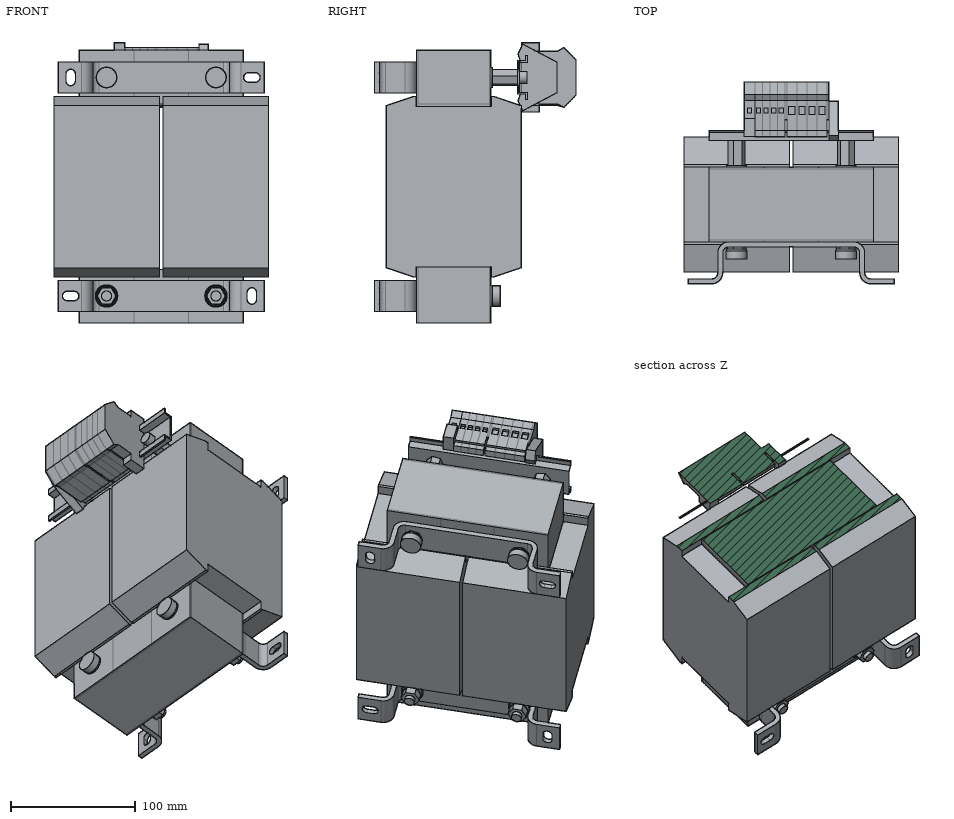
import cadquery as cq


overall_height = 226

core_width = 132.2
core_height = 220.0
core_depth = 60.1
yoke_height = 43.5
window_width = 43.6
cover_thickness = 1.4
core_face = core_depth / 2
core_mid_z = core_height / 2

coils_width = 173.0
coil_gap = 2.5
coil_depth = 109.0
coil_height = 145.5
coil_chamfer_height = 7.5
coil_rim_depth = 64.6
coil_notch_depth = 60.5
coil_notch_floor = 8.1

bracket_thickness = 4.0
bracket_height = 25.0
bracket_span = 166.0
bracket_leg_outer = 118.5
bracket_reach = 34
bend_inner_radius = 5.0
bend_outer_radius = bend_inner_radius + bracket_thickness
slot_length = 13.0
slot_width = 7.5
slot_x = 73.0
bracket_face = -core_face - bracket_thickness

bolt_x = 44.0
lower_bolt_z = 22.0
upper_bolt_z = core_height - lower_bolt_z
bolt_radius = 4.0
head_radius = 8.4
head_height = 6.3
washer_radius = 8.1
rear_washer_height = 1.4
front_spacer_height = 1.8
front_washer_height = 1.5
nut_washer_height = 2.7
nut_flange_radius = 9
nut_flange_top_radius = 7.2
nut_flange_height = 1.8
hex_corner_diameter = 15.1
nut_height = 6.5
bolt_projection = 3.5

rail_y = 51.5
rail_thickness = 1.4
rail_depth = 8.0
rail_channel_height = 27.0
rail_height = 35.3
standoff_corner_diameter = 14.0
standoff_twist = -10
rail_screw_radius = 5.0
rail_screw_top = 59.0

terminal_back = 98.8
terminal_back_half = 14.0
terminal_peak_y = 88.8
terminal_peak_half = 24.2
terminal_flat_y = 83.8
terminal_half = 21.2
terminal_underside = 22.5
terminal_step_y = 59.5
terminal_step = 2.0
terminal_shelf_y = 55.0
terminal_foot_y = 54.2
terminal_foot_half = 11.8
end_block_left = -38.0
end_block_width = 8.5
end_block_half = 21.0
end_block_front = 54.7
end_block_shoulder_y = 69.2
end_block_shoulder_half = overall_height - upper_bolt_z
terminal_count = 4
small_terminal_width = 6.0
large_terminal_width = 8.1
partition_width = 1.4
partition_front = 68.3
window_y = 75.7
window_depth = 2.3
small_window = (3.5, 4.3)
large_window = (5.0, 6.8)

clamp_width = 7.7
clamp_back = 83.5
clamp_back_half = 12.2
clamp_tip_y = 55.5
clamp_tip_half = 27.0
clamp_toe_y = 51.8
clamp_toe_half = 19.0


def box(x_range, y_range, z_range):
    """Box between the given limits on each axis."""
    size = [high - low for low, high in (x_range, y_range, z_range)]
    corner = cq.Vector(x_range[0], y_range[0], z_range[0])
    return cq.Workplane(cq.Solid.makeBox(*size, corner))


def round_bar(x, z, y_start, y_end, radius):
    """Cylinder lying along Y."""
    return cq.Workplane("XZ", origin=(x, y_start, z)).circle(radius).extrude(y_start - y_end)


def hex_bar(x, z, y_start, y_end, corner_diameter, twist=0):
    """Hexagonal prism lying along Y."""
    bar = cq.Workplane("XZ", origin=(x, y_start, z)).polygon(6, corner_diameter).extrude(y_start - y_end)
    return bar.rotate((x, 0, z), (x, 1, z), twist)


def profile_bar(upper_half, x_start, width, lower_half=None):
    """Extrude along X an outline of (y, height) points about the rail's middle.

    The lower half mirrors the upper one unless it is given with its own depths below the middle.
    """
    underside = [(y, -depth) for y, depth in reversed(lower_half or upper_half)]
    plane = cq.Workplane("YZ", origin=(x_start, 0, upper_bolt_z))
    return plane.polyline(upper_half + underside).close().extrude(width)


def join(parts):
    """Fuse the parts, keeping the seams where their faces meet."""
    first, *others = [part.val() for part in parts]
    return cq.Workplane(first.fuse(*others))


def core_parts():
    """U-shaped core stack closed by a separate top yoke, with split covers on both faces."""
    half = core_width / 2
    window_half = window_width / 2
    stack_half = core_face - cover_thickness
    stack_y = (-stack_half, stack_half)
    top_yoke_z = (core_height - yoke_height, core_height)
    bottom_yoke_z = (0, yoke_height)
    window = box((-window_half, window_half), stack_y, (yoke_height, top_yoke_z[0]))
    u_stack = box((-half, half), stack_y, (0, top_yoke_z[0])).cut(window)
    parts = [u_stack, box((-half, half), stack_y, top_yoke_z)]
    for cover_y in ((-core_face, -stack_half), (stack_half, core_face)):
        parts.append(box((-half, -window_half), cover_y, (0, core_height)))
        parts.append(box((window_half, half), cover_y, (0, core_height)))
        for yoke_z in (bottom_yoke_z, top_yoke_z):
            parts.append(box((-window_half, window_half), cover_y, yoke_z))
    return parts


def coil(x_start):
    """Coil block: chamfered ends, notched to clear the yokes."""
    half_depth = coil_depth / 2
    half_height = coil_height / 2
    rim = coil_rim_depth / 2
    notch = coil_notch_depth / 2
    shoulder = half_height - coil_chamfer_height
    floor = half_height - coil_notch_floor
    top = [
        (half_depth, shoulder), (rim, half_height), (notch, half_height), (notch, floor),
        (-notch, floor), (-notch, half_height), (-rim, half_height), (-half_depth, shoulder),
    ]
    bottom = [(y, -z) for y, z in reversed(top)]
    plane = cq.Workplane("YZ", origin=(x_start, 0, core_mid_z))
    return plane.polyline(top + bottom).close().extrude((coils_width - coil_gap) / 2)


def round_upright_edge(body, x, y, z, radius):
    """Fillet the vertical edge whose middle is at the given point."""
    edge = body.edges(cq.selectors.NearestToPointSelector((x, y, z)))
    return edge.fillet(radius)


def bracket(z, left_slot_angle, right_slot_angle):
    """Bent strap across the core, with a slotted foot at each end."""
    leg = bracket_leg_outer / 2
    end = bracket_span / 2
    back = -core_face
    foot = back - bracket_reach
    z_range = (z - bracket_height / 2, z + bracket_height / 2)
    strap = box((-leg, leg), (bracket_face, back), z_range)
    for side in (-1, 1):
        leg_range = sorted((side * leg, side * (leg - bracket_thickness)))
        foot_range = sorted((side * (leg - bracket_thickness), side * end))
        strap = strap.union(box(leg_range, (foot, back), z_range))
        strap = strap.union(box(foot_range, (foot, foot + bracket_thickness), z_range))
    for side in (-1, 1):
        outer_x = side * leg
        inner_x = side * (leg - bracket_thickness)
        strap = round_upright_edge(strap, outer_x, back, z, bend_outer_radius)
        strap = round_upright_edge(strap, inner_x, bracket_face, z, bend_inner_radius)
        strap = round_upright_edge(strap, inner_x, foot, z, bend_outer_radius)
        strap = round_upright_edge(strap, outer_x, foot + bracket_thickness, z, bend_inner_radius)
    for x, angle in ((-slot_x, left_slot_angle), (slot_x, right_slot_angle)):
        plane = cq.Workplane("XZ", origin=(x, foot + bracket_thickness, z))
        strap = strap.cut(plane.slot2D(slot_length, slot_width, angle).extrude(bracket_thickness))
    return strap


def bolt_parts(side):
    """Upper and lower clamping hardware on one side (-1 left, 1 right)."""
    x = side * bolt_x
    rear_seat = core_face + rear_washer_height
    spacer_end = bracket_face - front_spacer_height
    front_seat = spacer_end - front_washer_height
    nut_seat = bracket_face - nut_washer_height
    flange_end = nut_seat - nut_flange_height
    nut_end = flange_end - nut_height
    flange = cq.Workplane(cq.Solid.makeCone(
        nut_flange_radius, nut_flange_top_radius, nut_flange_height,
        cq.Vector(x, nut_seat, lower_bolt_z), cq.Vector(0, -1, 0),
    ))
    parts = [
        hex_bar(x, upper_bolt_z, bracket_face, spacer_end, hex_corner_diameter, side * standoff_twist),
        round_bar(x, upper_bolt_z, spacer_end, front_seat, washer_radius),
        round_bar(x, upper_bolt_z, front_seat, front_seat - head_height, head_radius),
        hex_bar(x, upper_bolt_z, rear_seat, rail_y, standoff_corner_diameter, side * standoff_twist),
        round_bar(x, upper_bolt_z, rail_y, rail_screw_top, rail_screw_radius),
        round_bar(x, lower_bolt_z, rear_seat, rear_seat + head_height, head_radius),
        round_bar(x, lower_bolt_z, bracket_face, nut_seat, washer_radius),
        flange,
        hex_bar(x, lower_bolt_z, flange_end, nut_end, hex_corner_diameter),
        round_bar(x, lower_bolt_z, nut_end, nut_end - bolt_projection, bolt_radius),
    ]
    for z in (lower_bolt_z, upper_bolt_z):
        parts.append(round_bar(x, z, core_face, rear_seat, washer_radius))
    return parts


def rail():
    """Hat-shaped rail, open towards +Y."""
    channel = rail_channel_height / 2
    lip = rail_height / 2
    front = rail_y + rail_depth
    upper_half = [
        (rail_y + rail_thickness, channel - rail_thickness), (front, channel - rail_thickness),
        (front, lip), (front - rail_thickness, lip),
        (front - rail_thickness, channel), (rail_y, channel),
    ]
    return profile_bar(upper_half, -core_width / 2, core_width)


def with_window(block, x_centre, flat_half, size):
    """Cut a rectangular test window into the upper face of a terminal."""
    width, length = size
    top = upper_bolt_z + flat_half
    pocket = box(
        (x_centre - width / 2, x_centre + width / 2),
        (window_y - length / 2, window_y + length / 2),
        (top - window_depth, top),
    )
    return block.cut(pocket)


def terminal_back_points(flat_half):
    """Upper half of the wire-entry end shared by all terminal blocks."""
    return [
        (terminal_flat_y, flat_half), (terminal_peak_y, terminal_peak_half),
        (terminal_back, terminal_back_half),
    ]


def terminal_outline(flat_half):
    """Half outline of a terminal: foot on the rail, low shelf, flat and wire-entry end."""
    shelf_half = flat_half - terminal_step
    return [
        (terminal_foot_y, terminal_foot_half), (terminal_shelf_y, shelf_half),
        (terminal_step_y, shelf_half), (terminal_step_y, flat_half),
        *terminal_back_points(flat_half),
    ]


def terminal_row():
    """End block, four small and four large terminals, partitions and end clamp."""
    end_outline = [
        (end_block_front, end_block_shoulder_half), (end_block_shoulder_y, end_block_shoulder_half),
        (end_block_shoulder_y, end_block_half), *terminal_back_points(end_block_half),
    ]
    upper_outline = terminal_outline(terminal_half)
    lower_outline = terminal_outline(terminal_underside)
    partition_outline = [(partition_front, terminal_half), *terminal_back_points(terminal_half)]
    clamp_outline = [
        (terminal_foot_y, terminal_foot_half), (clamp_toe_y, clamp_toe_half),
        (clamp_tip_y, clamp_tip_half), (clamp_back, clamp_back_half),
    ]

    end_block = profile_bar(end_outline, end_block_left, end_block_width)
    end_centre = end_block_left + end_block_width / 2
    parts = [with_window(end_block, end_centre, end_block_half, small_window)]
    x = end_block_left + end_block_width
    for width, window in ((small_terminal_width, small_window), (large_terminal_width, large_window)):
        for _ in range(terminal_count):
            block = profile_bar(upper_outline, x, width, lower_outline)
            parts.append(with_window(block, x + width / 2, terminal_half, window))
            x += width
        parts.append(profile_bar(partition_outline, x, partition_width))
        x += partition_width
    parts.append(profile_bar(clamp_outline, x, clamp_width))
    return parts


parts = core_parts()
parts += [coil(-coils_width / 2), coil(coil_gap / 2)]
parts += [bracket(upper_bolt_z, 90, 0), bracket(lower_bolt_z, 0, 90)]
for bolt_side in (-1, 1):
    parts += bolt_parts(bolt_side)
parts.append(rail())
parts += terminal_row()
result = join(parts)